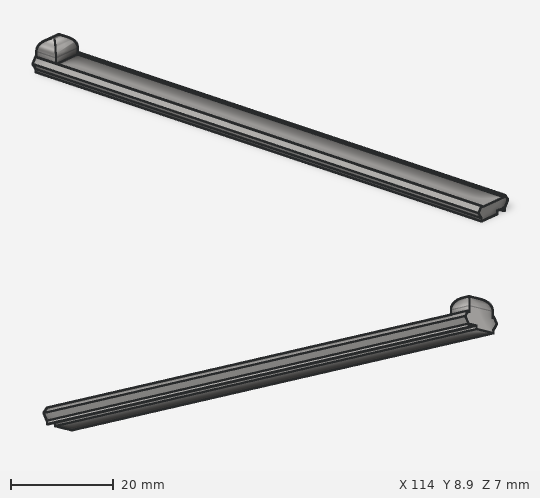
import cadquery as cq

bar_length = 114.0
bar_width = 8.9
overall_height = 7.0

ridge_height = 2.0
foot_width = 7.1
foot_height = 0.7
lip_width = 7.1
lip_height = 3.3
floor_width = 6.4
floor_height = 3.0

groove_inner_y = 1.3
groove_outer_y = 3.2
groove_depth = foot_height

head_length = 5.0
head_width = 6.6
dome_base_height = 4.3
dome_rise = overall_height - dome_base_height
dome_run = head_length / 2


def make_bar():
    """Extrude the ridged cross-section along X."""
    right_side = [
        (foot_width / 2, 0),
        (foot_width / 2, foot_height),
        (bar_width / 2, ridge_height),
        (lip_width / 2, lip_height),
        (floor_width / 2, floor_height),
    ]
    left_side = [(-y, z) for y, z in reversed(right_side)]
    return cq.Workplane("YZ").polyline(right_side + left_side).close().extrude(bar_length)


def make_groove():
    """Rectangular cutter running the full length of the underside."""
    groove_width = groove_outer_y - groove_inner_y
    return cq.Workplane("XY").box(bar_length, groove_width, groove_depth, centered=False).translate(
        (0, groove_inner_y, 0)
    )


def arched_prism(plane, width, length):
    """Upright wall with quarter-ellipse shoulders, centred along its length."""
    crown_half_width = width / 2 - dome_run
    outline = (
        cq.Workplane(plane)
        .workplane(offset=-length / 2)
        .moveTo(-width / 2, ridge_height)
        .lineTo(width / 2, ridge_height)
        .lineTo(width / 2, dome_base_height)
        .ellipseArc(dome_run, dome_rise, 0, 90, startAtCurrent=True)
    )
    if crown_half_width > 0:
        outline = outline.lineTo(-crown_half_width, overall_height)
    return (
        outline.ellipseArc(dome_run, dome_rise, 90, 180, startAtCurrent=True)
        .close()
        .extrude(length)
    )


def make_head():
    """Two crossing arches meet in a dome with mitred corners and a short crown along Y."""
    arch_across = arched_prism("YZ", head_width, head_length)
    arch_along = arched_prism("XZ", head_length, head_width)
    return arch_across.intersect(arch_along).translate((head_length / 2, 0, 0))


result = make_bar().cut(make_groove()).union(make_head())